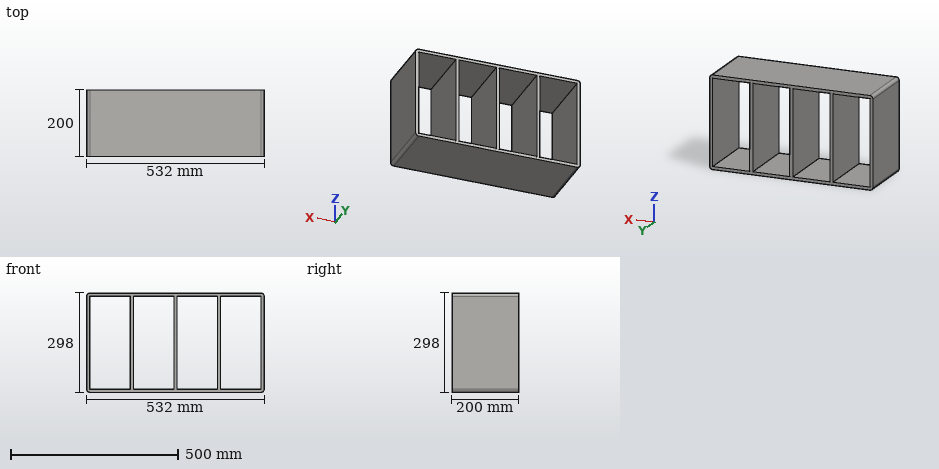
import cadquery as cq

width = 532.0
depth = 200.0
height = 298.0
wall = 10.0
corner_radius = wall
compartment_count = 4

compartment_width = (width - (compartment_count + 1) * wall) / compartment_count
compartment_height = height - 2 * wall
compartment_pitch = compartment_width + wall


def outer_body():
    """Solid block with its four long edges rounded."""
    return cq.Workplane("XY").box(width, depth, height).edges("|Y").fillet(corner_radius)


def compartments():
    """Evenly spaced rectangular openings, as deep as the block."""
    return (
        cq.Workplane("XY")
        .rarray(compartment_pitch, 5.5, compartment_count, 1)
        .box(compartment_width, depth, compartment_height)
    )


result = outer_body().cut(compartments())